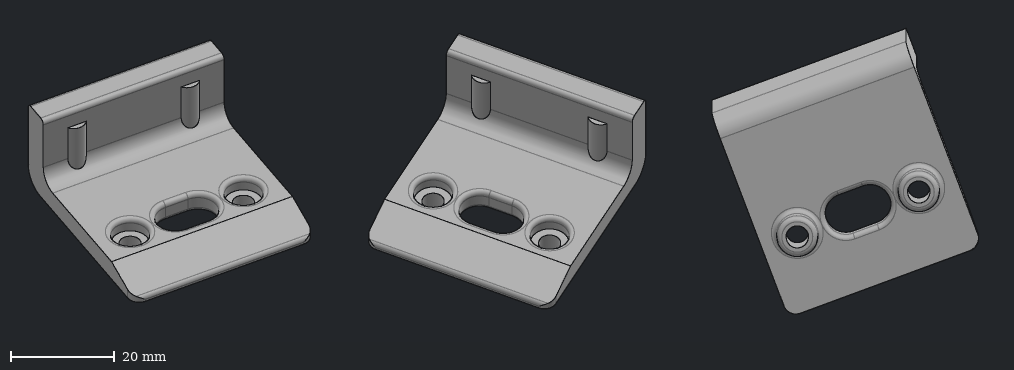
import cadquery as cq
import math

length = 42.0
width = 40.0
wall_height = 20.0
wall_thickness = 6.0
plate_thickness = 4.5
outer_bend_radius = 4.5
inner_bend_radius = 3.75
edge_radius = 1.0

taper_start = 33.1
taper_angle = 20.0
corner_radius = 2.5

hole_x = 27.0
pin_offset = 12.5
pin_diameter = 8.0
pin_length = 4.5
pin_base_radius = 1.0
counterbore_diameter = 7.5
counterbore_depth = 3.0
screw_hole_diameter = 4.3

slot_width = 8.0
slot_length = 12.98

rib_radius = 2.5
rib_projection = 1.05
rib_top = 16.0

pin_centers = [(hole_x, -pin_offset), (hole_x, pin_offset)]


def make_bracket():
    """L-shaped profile with a tapered toe, rounded at its bends and edges."""
    tip_height = plate_thickness - (length - taper_start) * math.tan(math.radians(taper_angle))
    outline = [
        (0, 0),
        (length, 0),
        (length, tip_height),
        (taper_start, plate_thickness),
        (wall_thickness, plate_thickness),
        (wall_thickness, wall_height),
        (0, wall_height),
    ]
    body = cq.Workplane("XZ").polyline(outline).close().extrude(width / 2, both=True)
    body = body.edges("|Y").edges("<X").edges("<Z").fillet(outer_bend_radius)
    inner_bend = cq.selectors.NearestToPointSelector((wall_thickness, 0, plate_thickness))
    body = body.edges(inner_bend).fillet(inner_bend_radius)
    body = body.faces(">Z").edges("|Y").fillet(edge_radius)
    body = body.faces(">X").edges(">Z").fillet(edge_radius)
    rounded_footprint = (
        cq.Workplane("XY")
        .rect(2 * length, width)
        .extrude(wall_height)
        .edges("|Z and >X")
        .fillet(corner_radius)
    )
    return body.intersect(rounded_footprint)


def make_ribs():
    """Vertical cylinders that stand slightly proud of the wall."""
    rib_x = wall_thickness + rib_projection - rib_radius
    rib_bottom = plate_thickness / 2
    return (
        cq.Workplane("XY", origin=(0, 0, rib_bottom))
        .pushPoints([(rib_x, -pin_offset), (rib_x, pin_offset)])
        .circle(rib_radius)
        .extrude(rib_top - rib_bottom)
    )


def add_pins(body):
    """Pins with a fillet at the root and a rounded free end."""
    pins = cq.Workplane("XY").pushPoints(pin_centers).circle(pin_diameter / 2).extrude(-pin_length)
    body = body.union(pins)
    roots = cq.selectors.BoxSelector(
        (hole_x - pin_diameter, -width / 2, -edge_radius / 2),
        (hole_x + pin_diameter, width / 2, edge_radius / 2),
    )
    body = body.edges("%CIRCLE").edges(roots).fillet(pin_base_radius)
    return body.faces("<Z").edges().fillet(edge_radius)


def cut_openings(body):
    """Screw holes with round-rimmed counterbores, and a slot rounded at both rims."""
    top = cq.Workplane("XY", origin=(0, 0, plate_thickness))
    bores = top.pushPoints(pin_centers).circle(counterbore_diameter / 2).extrude(-counterbore_depth)
    holes = (
        top.pushPoints(pin_centers)
        .circle(screw_hole_diameter / 2)
        .extrude(-plate_thickness - pin_length)
    )
    slot = top.center(hole_x, 0).slot2D(slot_length, slot_width, 90).extrude(-plate_thickness)
    body = body.cut(bores).cut(holes).cut(slot)

    rim_band = edge_radius / 10
    upper_rims = cq.selectors.BoxSelector(
        (hole_x - slot_width, -width / 2 + edge_radius, plate_thickness - rim_band),
        (taper_start - edge_radius, width / 2 - edge_radius, plate_thickness + rim_band),
    )
    slot_lower_rim = cq.selectors.BoxSelector(
        (hole_x - slot_width, -slot_length / 2 - rim_band, -rim_band),
        (hole_x + slot_width, slot_length / 2 + rim_band, rim_band),
    )
    return body.edges(upper_rims).fillet(edge_radius).edges(slot_lower_rim).fillet(edge_radius)


bracket = make_bracket().union(make_ribs())
result = cut_openings(add_pins(bracket))